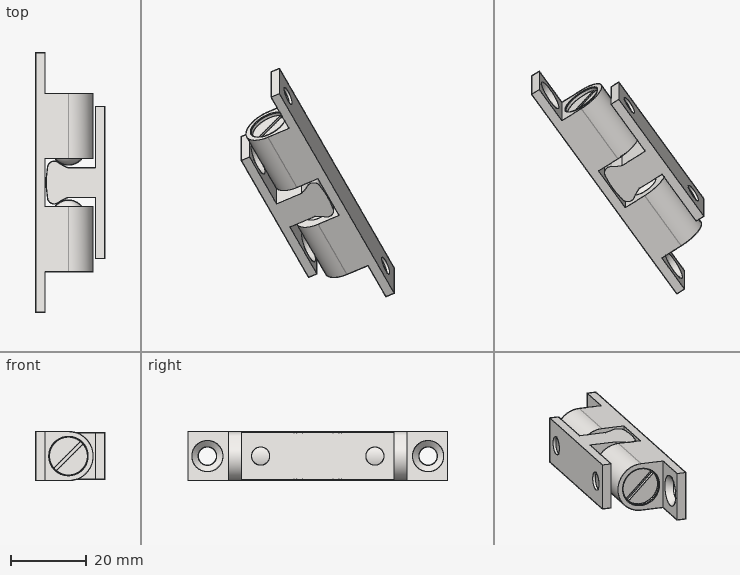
import cadquery as cq
import math

plate_length = 68.4
plate_thickness = 2.45
housing_height = 13.0
barrel_radius = housing_height / 2
barrel_axis_x = 8.6
barrel_inner_y = 6.3
barrel_outer_y = 23.5
barrel_length = barrel_outer_y - barrel_inner_y
housing_hole_y = 29.1

plug_radius = 5.0
plug_length = 4.1
plug_recess = 1.0
mouth_chamfer = 0.2
nose_radius = 4.5
nose_protrusion = 1.7
slot_width = 0.95
slot_depth = 1.0
slot_angle = -45

overall_width = 18.2
catch_length = 40.1
catch_height = 12.3
catch_hole_y = 15.05
catch_plate_x = overall_width - plate_thickness
neck_half_width = 4.0
neck_start_x = 8.4
tongue_tip_x = 2.75

hole_radius = 2.4
countersink_radius = 4.1
countersink_depth = countersink_radius - hole_radius


def block(x_min, x_max, y_min, y_max, height):
    """Box centred on Z = 0."""
    size = (x_max - x_min, y_max - y_min, height)
    return cq.Workplane("XY").box(*size, centered=(False, False, True)).translate((x_min, y_min, 0))


def screw_hole(narrow_x, direction, y):
    """Cutter that runs from narrow_x along X and flares at its far face."""
    straight = plate_thickness - countersink_depth
    profile = [
        (0, 0),
        (0, hole_radius),
        (straight, hole_radius),
        (plate_thickness, countersink_radius),
        (plate_thickness, 0),
    ]
    cutter = cq.Workplane("XY").polyline(profile).close().revolve(360, (0, 0, 0), (1, 0, 0))
    if direction < 0:
        cutter = cutter.mirror("YZ")
    return cutter.translate((narrow_x, y, 0))


def at_side(shape, side):
    """Place a shape made on the +Y side on the requested side."""
    return shape if side > 0 else shape.rotate((0, 0, 0), (1, 0, 0), 180)


def barrel():
    root = block(plate_thickness, barrel_axis_x, barrel_inner_y, barrel_outer_y, housing_height)
    front = (
        cq.Workplane("XZ", origin=(barrel_axis_x, barrel_outer_y, 0))
        .circle(barrel_radius)
        .extrude(barrel_length)
    )
    return root.union(front)


def plunger_blank():
    """Plug, stem and spherical nose revolved about the barrel axis."""
    tip_y = barrel_inner_y - nose_protrusion
    nose_centre_y = tip_y + nose_radius
    plug_outer_y = barrel_outer_y - plug_recess
    plug_inner_y = plug_outer_y - plug_length
    arc_step = nose_radius * math.sqrt(0.5)
    return (
        cq.Workplane("XY", origin=(barrel_axis_x, 0, 0))
        .moveTo(0, tip_y)
        .threePointArc((arc_step, nose_centre_y - arc_step), (nose_radius, nose_centre_y))
        .lineTo(nose_radius, plug_inner_y)
        .lineTo(plug_radius, plug_inner_y)
        .lineTo(plug_radius, plug_outer_y)
        .lineTo(0, plug_outer_y)
        .close()
        .revolve(360, (0, 0, 0), (0, 1, 0))
    )


def bore_mouth():
    """Bore beyond the recessed plug, with a chamfered rim."""
    return (
        cq.Workplane("XY", origin=(barrel_axis_x, 0, 0))
        .moveTo(0, barrel_outer_y - plug_recess)
        .lineTo(plug_radius, barrel_outer_y - plug_recess)
        .lineTo(plug_radius, barrel_outer_y - mouth_chamfer)
        .lineTo(plug_radius + mouth_chamfer, barrel_outer_y)
        .lineTo(0, barrel_outer_y)
        .close()
        .revolve(360, (0, 0, 0), (0, 1, 0))
    )


def make_housing():
    housing = block(0, plate_thickness, -plate_length / 2, plate_length / 2, housing_height)
    for side in (1, -1):
        housing = housing.union(at_side(barrel(), side))
        housing = housing.cut(at_side(plunger_blank(), side))
        housing = housing.cut(at_side(bore_mouth(), side))
        housing = housing.cut(screw_hole(0, 1, side * housing_hole_y))
    return housing


def make_plunger(side):
    slot = (
        cq.Workplane("XZ", origin=(barrel_axis_x, barrel_outer_y - plug_recess, 0))
        .transformed(rotate=(0, 0, slot_angle))
        .rect(2 * plug_radius, slot_width)
        .extrude(slot_depth)
    )
    return at_side(plunger_blank().cut(slot), side)


def make_tongue():
    """Bulb with a nearly flat tip, rounded shoulders and hollowed flanks."""
    tip_corner = (3.1, 4.0)
    shoulder_middle = (3.75, 5.3)
    shoulder_end = (5.8, 5.4)
    flank_middle = (7.0, 4.65)

    def opposite(point):
        return (point[0], -point[1])

    neck = (neck_start_x, neck_half_width)
    neck_end = (catch_plate_x, neck_half_width)
    return (
        cq.Workplane("XY", origin=(0, 0, -catch_height / 2))
        .moveTo(*neck_end)
        .lineTo(*neck)
        .threePointArc(flank_middle, shoulder_end)
        .threePointArc(shoulder_middle, tip_corner)
        .threePointArc((tongue_tip_x, 0), opposite(tip_corner))
        .threePointArc(opposite(shoulder_middle), opposite(shoulder_end))
        .threePointArc(opposite(flank_middle), opposite(neck))
        .lineTo(*opposite(neck_end))
        .close()
        .extrude(catch_height)
    )


def make_catch():
    catch = block(catch_plate_x, overall_width, -catch_length / 2, catch_length / 2, catch_height)
    catch = catch.union(make_tongue())
    for side in (1, -1):
        catch = catch.cut(screw_hole(overall_width, -1, side * catch_hole_y))
    return catch


housing = make_housing()
plungers = [make_plunger(side) for side in (1, -1)]
catch = make_catch()

result = cq.Compound.makeCompound([housing.val(), *[plunger.val() for plunger in plungers], catch.val()])